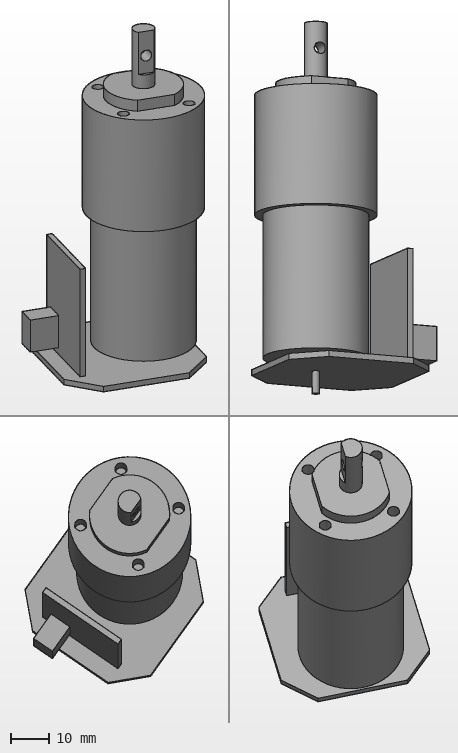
import cadquery as cq
import math


total_height = 98.5
shaft_length = 16.0
boss_height = 3.2
gearbox_height = 31.9
motor_height = 38.0
collar_height = 2.0
plate_thickness = 1.6

shaft_diameter = 6.0
boss_diameter = 21.0
gearbox_diameter = 32.0
motor_diameter = 27.7
collar_diameter = 10.0
rear_shaft_diameter = 2.0

boss_width = 18.2
shaft_flat_width = 5.0
shaft_flat_length = 12.0
cross_hole_diameter = 3.1
cross_hole_from_tip = 7.0

mount_hole_count = 4
mount_hole_diameter = 3.1
mount_circle_diameter = 26.0
mount_hole_depth = 6.0

plate_size = 40.0
plate_corner = 8.0
plate_back = 13.0
board_thickness = 1.6
board_height = 30.7
board_width = plate_size - 2 * plate_corner
board_front = 22.5
connector_width = 6.0
connector_depth = 8.0
connector_height = 9.2
connector_center_x = -6.3

motor_bottom = collar_height
gearbox_bottom = motor_bottom + motor_height
gearbox_top = gearbox_bottom + gearbox_height
boss_top = gearbox_top + boss_height
shaft_top = boss_top + shaft_length
rear_shaft_length = total_height - shaft_top - plate_thickness


def cylinder(diameter, height, bottom):
    return cq.Workplane("XY").workplane(offset=bottom).circle(diameter / 2).extrude(height)


def block(width, depth, height, center):
    return cq.Workplane("XY").box(width, depth, height, centered=(True, True, False)).translate(center)


def make_output_shaft():
    shaft = cylinder(shaft_diameter, shaft_length, boss_top)
    flat_x = shaft_flat_width - shaft_diameter / 2
    flat_cut = block(
        shaft_diameter, shaft_diameter, shaft_flat_length,
        (flat_x + shaft_diameter / 2, 0, shaft_top - shaft_flat_length),
    )
    cross_hole = (
        cq.Workplane("YZ")
        .center(0, shaft_top - cross_hole_from_tip)
        .circle(cross_hole_diameter / 2)
        .extrude(shaft_diameter, both=True)
    )
    return shaft.cut(flat_cut).cut(cross_hole)


def make_boss():
    round_boss = cylinder(boss_diameter, boss_height, gearbox_top)
    return round_boss.intersect(block(boss_width, boss_diameter, boss_height, (0, 0, gearbox_top)))


def make_gearbox():
    body = cylinder(gearbox_diameter, gearbox_height, gearbox_bottom)
    for index in range(mount_hole_count):
        angle = math.pi / 4 + index * 2 * math.pi / mount_hole_count
        x = mount_circle_diameter / 2 * math.cos(angle)
        y = mount_circle_diameter / 2 * math.sin(angle)
        hole = cylinder(mount_hole_diameter, mount_hole_depth, gearbox_top - mount_hole_depth)
        body = body.cut(hole.translate((x, y, 0)))
    return body


def make_plate():
    center_y = plate_back - plate_size / 2
    plate = block(plate_size, plate_size, plate_thickness, (0, center_y, -plate_thickness))
    return plate.edges("|Z").chamfer(plate_corner)


def make_board():
    board_y = -board_front + board_thickness / 2
    board = block(board_width, board_thickness, board_height, (0, board_y, 0))
    connector_y = -board_front - connector_depth / 2
    connector = block(
        connector_width, connector_depth, connector_height,
        (connector_center_x, connector_y, motor_bottom),
    )
    return board.union(connector)


motor = cylinder(motor_diameter, motor_height, motor_bottom)
collar = cylinder(collar_diameter, collar_height, 0)
rear_shaft = cylinder(rear_shaft_diameter, rear_shaft_length, -plate_thickness - rear_shaft_length)

result = (
    make_gearbox()
    .union(make_boss())
    .union(make_output_shaft())
    .union(motor)
    .union(collar)
    .union(make_plate())
    .union(make_board())
    .union(rear_shaft)
)